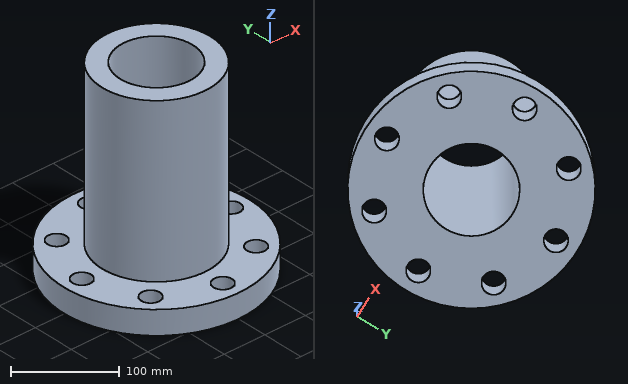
import cadquery as cq

flange_diameter = 228.5
flange_thickness = 28.8

overall_height = 227.0
neck_diameter = 133.5
bore_diameter = 89.0

bolt_hole_count = 8
bolt_hole_diameter = 22.5
bolt_circle_diameter = 184.3

flange = cq.Workplane("XY").circle(flange_diameter / 2).extrude(flange_thickness)

neck = cq.Workplane("XY").circle(neck_diameter / 2).extrude(overall_height)

bore = cq.Workplane("XY").circle(bore_diameter / 2).extrude(overall_height)

bolt_holes = (
    cq.Workplane("XY")
    .polarArray(bolt_circle_diameter / 2, 0, 360, bolt_hole_count)
    .circle(bolt_hole_diameter / 2)
    .extrude(flange_thickness)
)

result = flange.union(neck).cut(bore).cut(bolt_holes)